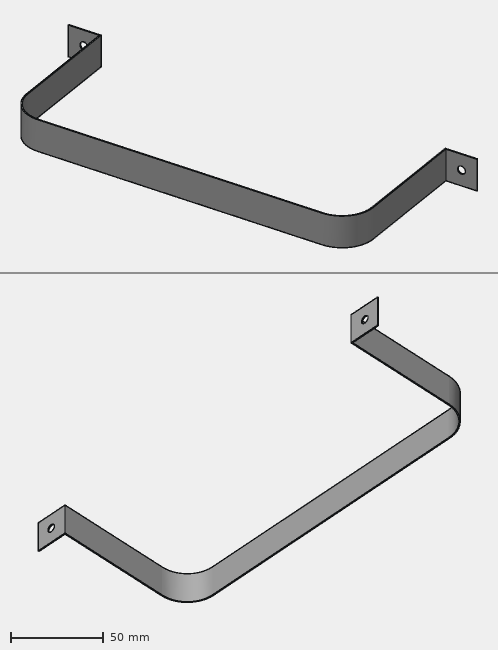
import cadquery as cq

length = 263.5
depth = 94.0
strip_width = 20.0

thickness = 0.8
tab_length = 20.0
bend_radius = 20.0
hole_diameter = 5.0

span = length - 2 * tab_length
hole_spacing = length - tab_length


def bracket_block(width, front, radius):
    """Block reaching from `front` to the back plane, with rounded front corners."""
    return (
        cq.Workplane("XY")
        .box(width, depth - front, strip_width, centered=(True, False, True))
        .translate((0, front, 0))
        .edges("|Z and <Y")
        .fillet(radius)
    )


outer = bracket_block(span, 0, bend_radius)
inner = bracket_block(span - 2 * thickness, thickness, bend_radius - thickness)
loop = outer.cut(inner)

tabs = (
    cq.Workplane("XY")
    .box(length, thickness, strip_width)
    .translate((0, depth - thickness / 2, 0))
    .cut(inner)
)

holes = (
    cq.Workplane("XZ", origin=(0, depth, 0))
    .pushPoints([(-hole_spacing / 2, 0), (hole_spacing / 2, 0)])
    .circle(hole_diameter / 2)
    .extrude(thickness)
)

result = loop.union(tabs).cut(holes)